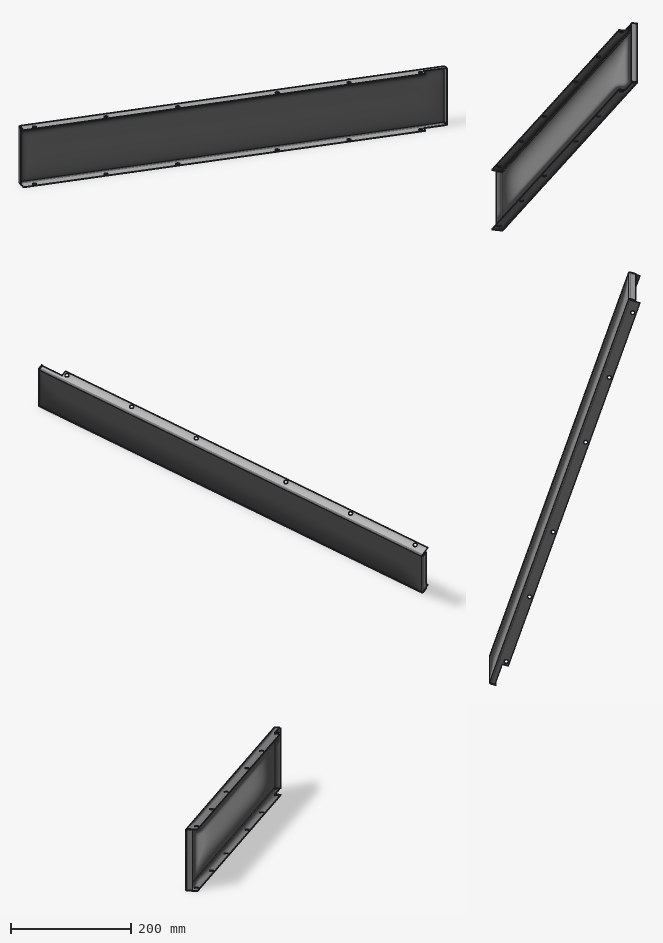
import cadquery as cq

depth = 20.0
length = 747
height = 107.0
sheet = 1.5
bend_radius = 3.0

end_flange_depth = 12.0
end_flange_gap = 0.4
long_flange_setback = 2.0
notch_length = 41.0
narrow_depth = 10.0

hole_diameter = 7.0
hole_x = 14.0
hole_pitch = 125.5
hole_group_centers = (200.0, -225.0)


def box(x_range, y_range, z_range):
    """Axis-aligned box between pairs of limits."""
    sizes = [high - low for low, high in (x_range, y_range, z_range)]
    corner = (x_range[0], y_range[0], z_range[0])
    return cq.Workplane("XY").box(*sizes, centered=False).translate(corner)


def channel(flange_depth, width, run, fold_axis):
    """U-shaped sheet with rounded bends, folded about lines along fold_axis."""
    size = (flange_depth, width, run) if fold_axis == "Z" else (flange_depth, run, width)
    inner = width - 2 * sheet
    cavity_size = (flange_depth, inner, run) if fold_axis == "Z" else (flange_depth, run, inner)
    edges = f"|{fold_axis} and <X"
    outside = cq.Workplane("XY").box(*size, centered=(False, True, True))
    outside = outside.edges(edges).fillet(bend_radius)
    cavity = cq.Workplane("XY").box(*cavity_size, centered=(False, True, True))
    cavity = cavity.edges(edges).fillet(bend_radius - sheet).translate((sheet, 0, 0))
    return outside.cut(cavity)


half_length = length / 2
half_height = height / 2
z_limits = (-half_height, half_height)

long_channel = channel(depth, height, length - 2 * long_flange_setback, "Y")
notch_start = half_length - notch_length
notch = box((narrow_depth, depth), (notch_start, half_length), z_limits)
long_channel = long_channel.cut(notch)

end_height = height - 2 * (sheet + end_flange_gap)
end_channel = channel(end_flange_depth, length, end_height, "Z")

result = long_channel.union(end_channel)

hole_points = [
    (hole_x, center + step * hole_pitch)
    for center in hole_group_centers
    for step in (-1, 0, 1)
]
holes = (
    cq.Workplane("XY", origin=(0, 0, -half_height))
    .pushPoints(hole_points)
    .circle(hole_diameter / 2)
    .extrude(height)
)
result = result.cut(holes)